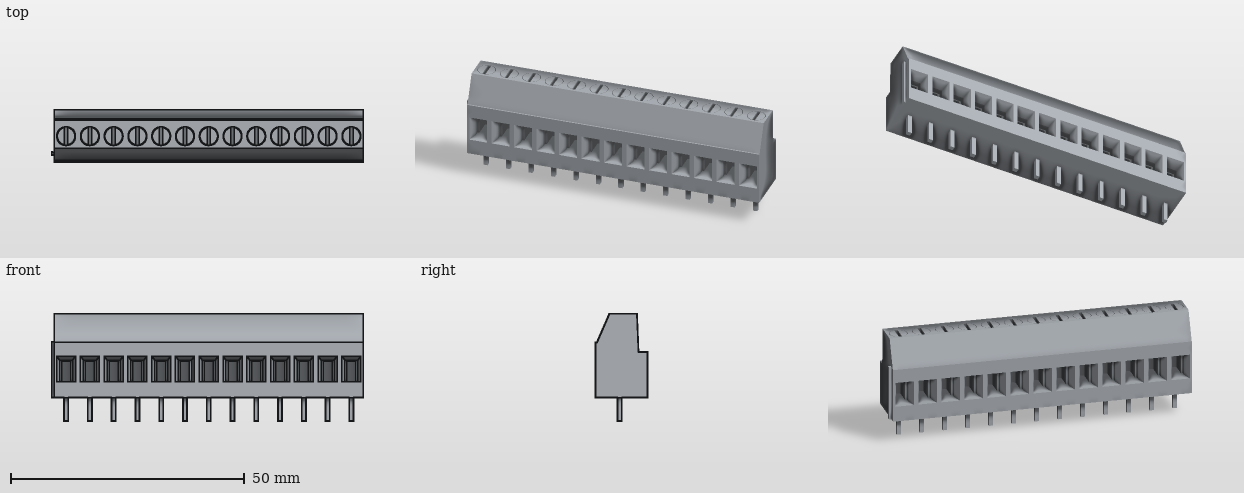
import cadquery as cq

pole_count = 13
total_length = 66.6
rib_depth = 0.5
housing_length = total_length - rib_depth
pitch = housing_length / pole_count
pole_centers = [pitch * (pole + 0.5) for pole in range(pole_count)]

housing_depth = 11.2
housing_height = 18.0
ledge_depth = 0.3
ledge_height = 11.85
top_front = 3.0
top_back = 8.9
step_back = 9.25
step_height = 9.8

rib_center = 1.8
rib_outer_width = 0.8
rib_inner_width = 0.45
rib_height = 12.0

entry_floor = 3.4
mouth_width = 4.05
mouth_top = 8.85
mouth_depth = 2.3
throat_width = 2.8
throat_top = 8.05
throat_end = 3.5
clamp_slot_width = 1.9
clamp_slot_top = 7.8

screw_y = 5.5
hole_diameter = 4.0
screw_diameter = 3.8
screw_gap_depth = 1.0
drive_slot_width = 0.7
drive_slot_depth = 1.0

pin_width = 0.9
pin_thickness = 0.9
pin_length = 5.0
pin_y = 5.2


def box(width, y_start, y_end, z_start, z_end):
    """Box centred on x = 0 and spanning the given y and z limits."""
    size = (width, y_end - y_start, z_end - z_start)
    return cq.Workplane("XY").box(*size, centered=(True, False, False)).translate((0, y_start, z_start))


def housing():
    profile = [
        (0, 0),
        (housing_depth, 0),
        (housing_depth, step_height),
        (step_back, step_height),
        (top_back, housing_height),
        (top_front, housing_height),
        (ledge_depth, ledge_height),
        (0, ledge_height),
    ]
    return cq.Workplane("YZ").polyline(profile).close().extrude(housing_length)


def dovetail_rib():
    outline = [
        (0, rib_center - rib_inner_width / 2),
        (-rib_depth, rib_center - rib_outer_width / 2),
        (-rib_depth, rib_center + rib_outer_width / 2),
        (0, rib_center + rib_inner_width / 2),
    ]
    return cq.Workplane("XY").polyline(outline).close().extrude(rib_height)


def wire_entry():
    mouth_height = mouth_top - entry_floor
    throat_height = throat_top - entry_floor
    mouth = (
        cq.Workplane("XZ", origin=(0, 0, entry_floor + mouth_height / 2))
        .rect(mouth_width, mouth_height)
        .workplane(offset=-mouth_depth)
        .center(0, (throat_height - mouth_height) / 2)
        .rect(throat_width, throat_height)
        .loft(ruled=True)
    )
    throat = box(throat_width, mouth_depth, throat_end, entry_floor, throat_top)
    front_slot = box(clamp_slot_width, throat_end, screw_y, entry_floor, clamp_slot_top)
    rounded_end = (
        cq.Workplane("XY", origin=(0, screw_y, entry_floor))
        .circle(hole_diameter / 2)
        .extrude(clamp_slot_top - entry_floor)
        .intersect(box(clamp_slot_width, screw_y, housing_depth, entry_floor, clamp_slot_top))
    )
    return mouth.union(throat).union(front_slot).union(rounded_end)


def screw_cut():
    """Ring gap around the screw head together with its drive slot."""
    top = cq.Workplane("XY", origin=(0, screw_y, housing_height))
    ring = top.circle(hole_diameter / 2).circle(screw_diameter / 2)
    gap = ring.extrude(-screw_gap_depth)
    drive_slot = (
        top.rect(drive_slot_width, hole_diameter)
        .extrude(-drive_slot_depth)
        .intersect(top.circle(hole_diameter / 2).extrude(-drive_slot_depth))
    )
    return gap.union(drive_slot)


def pin():
    return box(pin_width, pin_y - pin_thickness / 2, pin_y + pin_thickness / 2, -pin_length, 0)


pole_cut = wire_entry().union(screw_cut())
solder_pin = pin()
result = housing().union(dovetail_rib())
for x in pole_centers:
    result = result.cut(pole_cut.translate((x, 0, 0)))
    result = result.union(solder_pin.translate((x, 0, 0)))